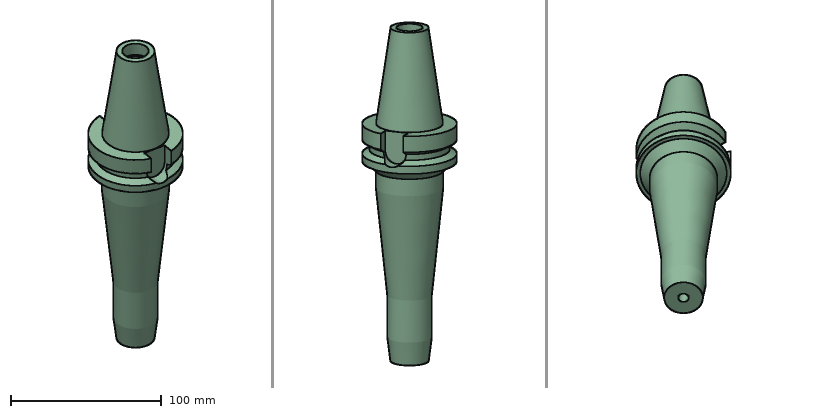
import cadquery as cq

length = 230.0
rim_radius = 31.5

gauge_z = 164.8
gauge_radius = 22.23
taper_ratio = 7 / 24
shank_tip_radius = gauge_radius - (length - gauge_z) * taper_ratio / 2

flange_top_z = 163.8
flange_bottom_z = 137.8
groove_radius = 26.7
groove_floor_top_z = 150.0
groove_floor_bottom_z = 145.9
groove_flank_height = 2.8
flange_cone_radius = 28.8

neck_radius = 22.5
neck_top_z = flange_bottom_z - (flange_cone_radius - neck_radius)
neck_bottom_z = 119.9
nose_radius = 15.0
nose_top_z = 45.5
nose_cone_z = 16.5
nose_tip_radius = 13.0

slot_width = 16.0
slot_bottom_z = 141.7
slot_floor_x = 22.5

counterbore_radius = 8.7
counterbore_depth = 9.0
thread_radius = 7.0
thread_depth = 30.0
through_radius = 3.5
seat_radius = 4.5
seat_depth = 34.5


def revolved(profile):
    """Revolve (radius, z) points about the Z axis."""
    return cq.Workplane("XZ").polyline(profile).close().revolve(360, (0, 0, 0), (0, 1, 0))


def make_body():
    return revolved([
        (0, 0),
        (nose_tip_radius, 0),
        (nose_radius, nose_cone_z),
        (nose_radius, nose_top_z),
        (neck_radius, neck_bottom_z),
        (neck_radius, neck_top_z),
        (flange_cone_radius, flange_bottom_z),
        (rim_radius, flange_bottom_z),
        (rim_radius, groove_floor_bottom_z - groove_flank_height),
        (groove_radius, groove_floor_bottom_z),
        (groove_radius, groove_floor_top_z),
        (rim_radius, groove_floor_top_z + groove_flank_height),
        (rim_radius, flange_top_z),
        (gauge_radius, flange_top_z),
        (gauge_radius, gauge_z),
        (shank_tip_radius, length),
        (0, length),
    ])


def make_bore():
    thread_bottom_z = length - thread_depth
    seat_bottom_z = length - seat_depth
    return revolved([
        (0, 0),
        (through_radius, 0),
        (through_radius, seat_bottom_z),
        (seat_radius, seat_bottom_z),
        (seat_radius, thread_bottom_z),
        (thread_radius, thread_bottom_z),
        (thread_radius, length - counterbore_depth),
        (counterbore_radius, length - counterbore_depth),
        (counterbore_radius, length),
        (0, length),
    ])


def make_slot(side):
    """Drive slot cutter on the +X (side = 1) or -X (side = -1) side."""
    half_width = slot_width / 2
    arc_z = slot_bottom_z + half_width
    return (
        cq.Workplane("YZ", origin=(side * slot_floor_x, 0, 0))
        .moveTo(-half_width, flange_top_z)
        .lineTo(-half_width, arc_z)
        .threePointArc((0, slot_bottom_z), (half_width, arc_z))
        .lineTo(half_width, flange_top_z)
        .close()
        .extrude(side * rim_radius)
    )


result = make_body().cut(make_bore())
for side in (-1, 1):
    result = result.cut(make_slot(side))